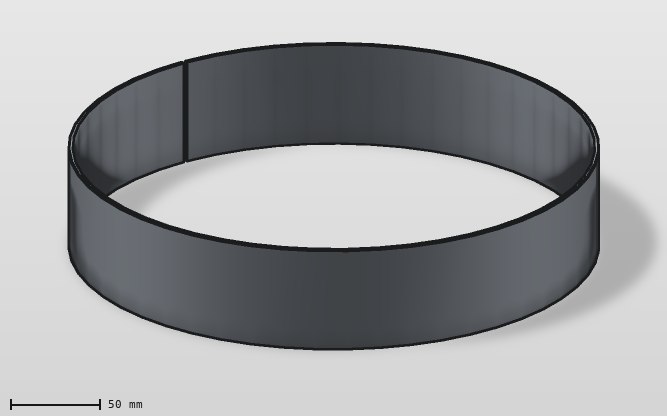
import cadquery as cq

outer_diameter = 295.0
wall_thickness = 2.5
band_height = 60.0
gap_angle = 1.0
outer_chamfer = 0.5
inner_chamfer = 0.2

outer_radius = outer_diameter / 2
inner_radius = outer_radius - wall_thickness
sweep_angle = 360.0 - gap_angle


def wall_section():
    """Wall cross-section in the XZ plane, on the -X side of the ring axis."""
    end_face_outer_radius = outer_radius - outer_chamfer
    end_face_inner_radius = inner_radius + inner_chamfer
    return (
        cq.Workplane("XZ")
        .moveTo(-end_face_inner_radius, 0)
        .lineTo(-end_face_outer_radius, 0)
        .lineTo(-outer_radius, outer_chamfer)
        .lineTo(-outer_radius, band_height - outer_chamfer)
        .lineTo(-end_face_outer_radius, band_height)
        .lineTo(-end_face_inner_radius, band_height)
        .lineTo(-inner_radius, band_height - inner_chamfer)
        .lineTo(-inner_radius, inner_chamfer)
        .close()
    )


result = wall_section().revolve(sweep_angle, (0, 0, 0), (0, 1, 0))